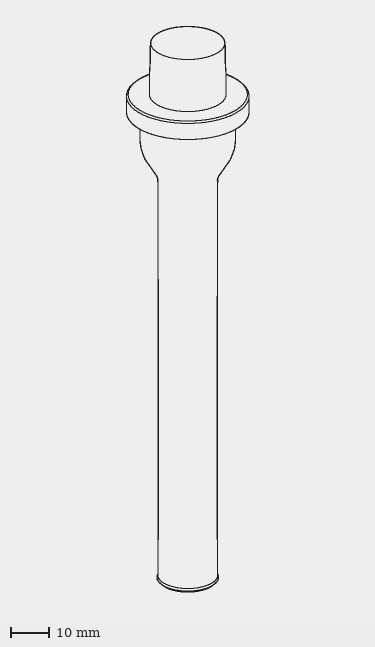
import cadquery as cq

top_z = 78.0
bottom_z = -top_z
shank_end_z = 76.5
taper_top_z = 72.0
taper_bottom_z = 69.4
flange_top_z = 63.0
flange_bottom_z = 57.9
collar_bottom_z = 49.9
neck_top_z = 36.8
neck_taper_z = 32.1
stem_top_z = -9.2
flare_top_z = -65.2
head_top_z = -68.3
rim_top_z = -76.8
rim_edge_z = -77.4

shank_end_diameter = 19.3
shank_tip_diameter = 19.7
shank_diameter = 20.0
flange_diameter = 32.0
collar_diameter = 25.0
neck_diameter = 15.6
stem_diameter = 15.5
rim_diameter = 16.0
rim_bottom_diameter = 14.8

flange_chamfer = 0.5

shoulder_upper_z = 43.7
shoulder_upper_diameter = 20.9
shoulder_lower_z = 40.0
shoulder_lower_diameter = 16.4


def make_tool_body():
    """Shank, flange, collar, shoulder, neck and head turned from one profile."""
    shoulder_points = [
        (shoulder_upper_diameter / 2, shoulder_upper_z),
        (shoulder_lower_diameter / 2, shoulder_lower_z),
        (neck_diameter / 2, neck_top_z),
    ]
    downward = (0, -1)
    flange_radius = flange_diameter / 2
    return (
        cq.Workplane("XZ")
        .moveTo(0, top_z)
        .lineTo(shank_end_diameter / 2, top_z)
        .lineTo(shank_tip_diameter / 2, shank_end_z)
        .lineTo(shank_tip_diameter / 2, taper_top_z)
        .lineTo(shank_diameter / 2, taper_bottom_z)
        .lineTo(shank_diameter / 2, flange_top_z)
        .lineTo(flange_radius - flange_chamfer, flange_top_z)
        .lineTo(flange_radius, flange_top_z - flange_chamfer)
        .lineTo(flange_radius, flange_bottom_z)
        .lineTo(collar_diameter / 2, flange_bottom_z)
        .lineTo(collar_diameter / 2, collar_bottom_z)
        .spline(shoulder_points, tangents=[downward, downward], includeCurrent=True)
        .lineTo(neck_diameter / 2, neck_taper_z)
        .lineTo(stem_diameter / 2, stem_top_z)
        .lineTo(stem_diameter / 2, flare_top_z)
        .lineTo(neck_diameter / 2, head_top_z)
        .lineTo(neck_diameter / 2, rim_top_z)
        .lineTo(0, rim_top_z)
        .close()
        .revolve(360, (0, 0), (0, 1))
    )


def make_rim():
    """Sharp-edged disc closing the lower end of the tool body."""
    return (
        cq.Workplane("XZ")
        .moveTo(0, rim_top_z)
        .lineTo(neck_diameter / 2, rim_top_z)
        .lineTo(rim_diameter / 2, rim_edge_z)
        .lineTo(rim_bottom_diameter / 2, bottom_z)
        .lineTo(0, bottom_z)
        .close()
        .revolve(360, (0, 0), (0, 1))
    )


tool_body = make_tool_body()
rim = make_rim()

result = cq.Compound.makeCompound([tool_body.val(), rim.val()])